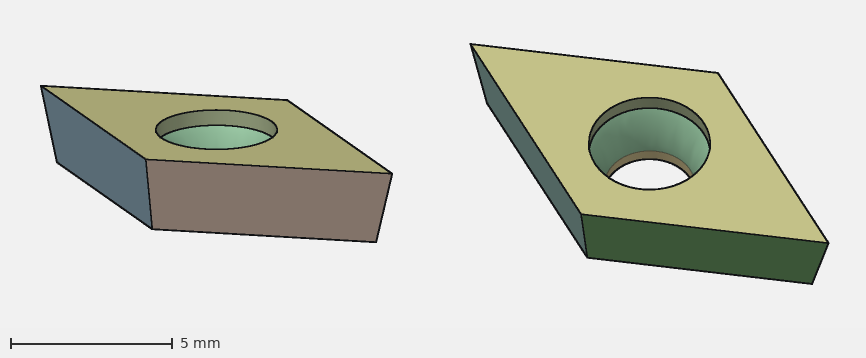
import cadquery as cq
import math

length = 12.2
thickness = 2.38
corner_angle = 55.0
relief_angle = 7.0

bore_radius = 1.4
mouth_radius = 1.88
mouth_depth = 0.5
seat_radius = 2.5


def make_body():
    """Rhombus at the top face, tapering down to the base."""
    angle = math.radians(corner_angle)
    edge = length / (1 + math.cos(angle))
    lean = edge * math.cos(angle)
    half_length = length / 2
    half_width = edge * math.sin(angle) / 2
    outline = [
        (-half_length, -half_width),
        (half_length - lean, -half_width),
        (half_length, half_width),
        (lean - half_length, half_width),
    ]
    return (
        cq.Workplane("XY")
        .workplane(offset=thickness)
        .polyline(outline)
        .close()
        .extrude(-thickness, taper=relief_angle)
    )


def make_screw_hole():
    """Revolved cutter: mouth, convex rounded seat and through bore."""
    seat_top = thickness - mouth_depth
    arc_centre_r = bore_radius + seat_radius
    arc_angle = math.acos((arc_centre_r - mouth_radius) / seat_radius)
    seat_bottom = seat_top - seat_radius * math.sin(arc_angle)
    arc_middle = (
        arc_centre_r - seat_radius * math.cos(arc_angle / 2),
        seat_bottom + seat_radius * math.sin(arc_angle / 2),
    )
    return (
        cq.Workplane("XZ")
        .lineTo(bore_radius, 0)
        .lineTo(bore_radius, seat_bottom)
        .threePointArc(arc_middle, (mouth_radius, seat_top))
        .lineTo(mouth_radius, thickness)
        .lineTo(0, thickness)
        .close()
        .revolve(360, (0, 0, 0), (0, 1, 0))
    )


result = make_body().cut(make_screw_hole())